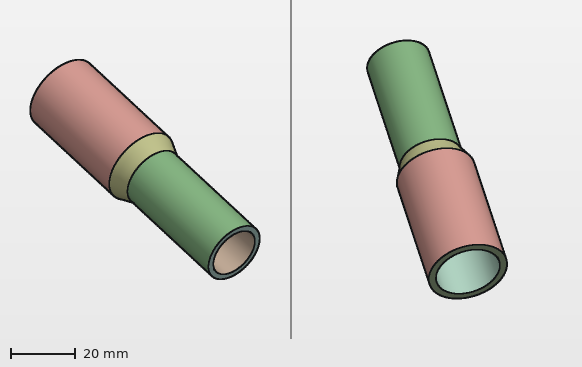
import cadquery as cq

total_length = 87.0
wide_length = 40.0
cone_length = 6.0
wide_outer_diameter = 25.0
wide_bore_diameter = 20.4
narrow_outer_diameter = 20.0
narrow_bore_diameter = 16.2

cone_end = wide_length + cone_length


def stepped_solid(wide_diameter, narrow_diameter):
    """Solid of revolution about X: wide cylinder, cone, narrow cylinder."""
    wide_radius = wide_diameter / 2
    narrow_radius = narrow_diameter / 2
    return (
        cq.Workplane("XY")
        .moveTo(0, 0)
        .lineTo(0, wide_radius)
        .lineTo(wide_length, wide_radius)
        .lineTo(cone_end, narrow_radius)
        .lineTo(total_length, narrow_radius)
        .lineTo(total_length, 0)
        .close()
        .revolve(360, (0, 0, 0), (1, 0, 0))
    )


outer_body = stepped_solid(wide_outer_diameter, narrow_outer_diameter)

bore = stepped_solid(wide_bore_diameter, narrow_bore_diameter)

result = outer_body.cut(bore)